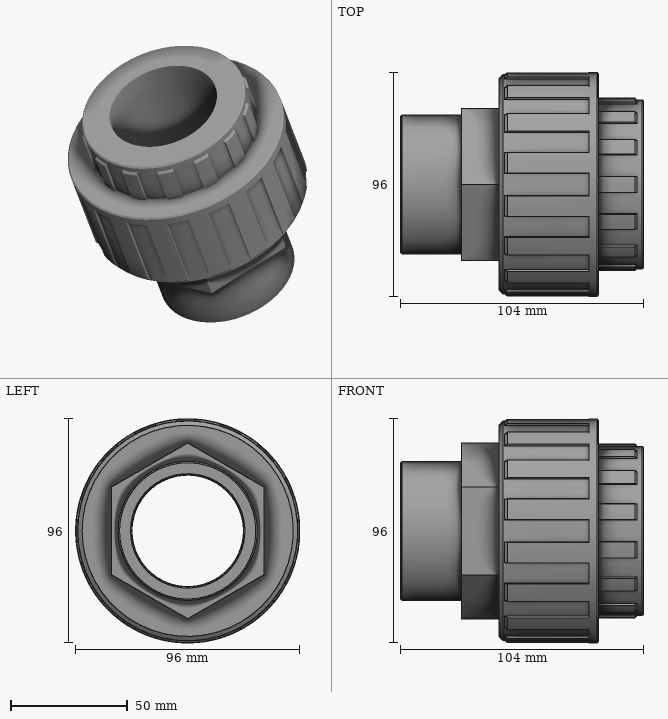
import cadquery as cq

total_length = 104.0
bore_diameter = 47.7
edge_chamfer = 0.6

spigot_diameter = 59.6
hex_start = 26.0
hex_across_flats = 65.2

nut_start = 42.0
nut_end = 84.7
nut_barrel_diameter = 94.1
nut_collar_diameter = 96.0
nut_collar_start = 80.6
nut_front_chamfer = 1.9
nut_rib_count = 16
nut_rib_width = 9.0
nut_rib_start = 44.5
nut_rib_ramp = 1.1

body_diameter = 72.5
body_rib_diameter = 74.5
body_rib_count = 14
body_rib_width = 7.0
body_rib_end = 101.2


def revolve_profile(points):
    """Revolve a closed outline of (x, radius) points about the X axis."""
    return cq.Workplane("XY").polyline(points).close().revolve(360, (0, 0, 0), (1, 0, 0))


def cut_into_ribs(ring, width, count, first_angle):
    """Keep parallel-sided ribs of a ring, evenly spaced from an angle measured off +Z."""
    blade = cq.Workplane("XY").box(
        total_length, width, nut_collar_diameter, centered=(False, True, False)
    )
    ribs = []
    for index in range(count):
        angle = first_angle + index * 360 / count
        ribs.append(ring.intersect(blade.rotate((0, 0, 0), (1, 0, 0), angle)))
    return ribs


def make_spigot():
    spigot = cq.Workplane("YZ").circle(spigot_diameter / 2).extrude(nut_start)
    return spigot.faces("<X").chamfer(edge_chamfer)


def make_hexagon():
    """Hexagon with two flats facing +Y and -Y and corners at top and bottom."""
    return (
        cq.Workplane("YZ", origin=(hex_start, 0, 0))
        .polygon(6, hex_across_flats, circumscribed=True)
        .extrude(nut_start - hex_start)
    )


def make_nut():
    barrel_radius = nut_barrel_diameter / 2
    collar_radius = nut_collar_diameter / 2
    nut = revolve_profile([
        (nut_start, 0),
        (nut_start, barrel_radius - nut_front_chamfer),
        (nut_start + nut_front_chamfer, barrel_radius),
        (nut_collar_start, barrel_radius),
        (nut_collar_start, collar_radius),
        (nut_end - edge_chamfer, collar_radius),
        (nut_end, collar_radius - edge_chamfer),
        (nut_end, 0),
    ])
    root_radius = body_diameter / 2
    rib_ring = revolve_profile([
        (nut_rib_start, root_radius),
        (nut_rib_start, barrel_radius),
        (nut_rib_start + nut_rib_ramp, collar_radius),
        (nut_collar_start, collar_radius),
        (nut_collar_start, root_radius),
    ])
    half_pitch = 180 / nut_rib_count
    for rib in cut_into_ribs(rib_ring, nut_rib_width, nut_rib_count, half_pitch):
        nut = nut.union(rib)
    return nut


def make_rear_body():
    sleeve_radius = body_diameter / 2
    rib_radius = body_rib_diameter / 2
    rib_height = rib_radius - sleeve_radius
    body = (
        cq.Workplane("YZ", origin=(nut_end, 0, 0))
        .circle(sleeve_radius)
        .extrude(total_length - nut_end)
        .faces(">X")
        .chamfer(edge_chamfer)
    )
    root_radius = spigot_diameter / 2
    rib_ring = revolve_profile([
        (nut_end, root_radius),
        (nut_end, rib_radius),
        (body_rib_end - rib_height, rib_radius),
        (body_rib_end, sleeve_radius),
        (body_rib_end, root_radius),
    ])
    for rib in cut_into_ribs(rib_ring, body_rib_width, body_rib_count, 0):
        body = body.union(rib)
    return body


def make_bore():
    """Through bore with a chamfered mouth at the spigot end."""
    bore_radius = bore_diameter / 2
    return revolve_profile([
        (0, 0),
        (0, bore_radius + edge_chamfer),
        (edge_chamfer, bore_radius),
        (total_length, bore_radius),
        (total_length, 0),
    ])


result = make_spigot().union(make_hexagon()).union(make_nut()).union(make_rear_body())
result = result.cut(make_bore())